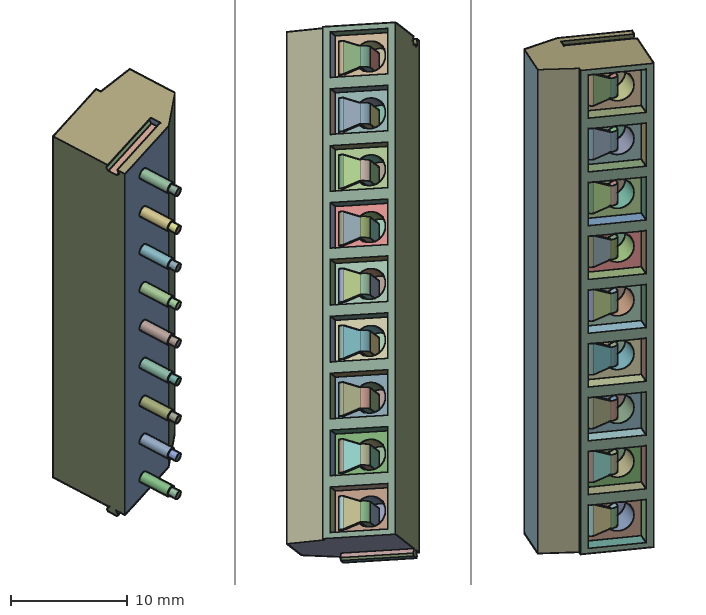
import cadquery as cq
import math

POLES = 9
PITCH = 5.0
DEPTH = 7.5
HEIGHT = 10.0
LENGTH = POLES * PITCH

FRONT_STEP_Y = 6.5
FRONT_STEP_X = 0.5
TOP_FRONT_X = 1.1
TOP_BACK_X = 5.8
BACK_SHOULDER_Y = 6.6

WINDOW_DEPTH = 1.6
WINDOW_BOTTOM_Y = 0.7
WINDOW_TOP_Y = 5.8
WINDOW_LENGTH = 4.0

HOLE_DIAMETER = 2.7
HOLE_Y = 2.7
HOLE_DEPTH = 3.0

LEAF_TOP_Y = 5.5
LEAF_TIP_BEND_Y = 3.5
LEAF_TIP_Y = 2.75
LEAF_RISE = 0.3
LEAF_ROOT_RADIUS = 0.5
LEAF_TIP_RADIUS = 0.8
LEAF_WIDE = 2.95
LEAF_NARROW = 1.85

PIN_DIAMETER = 1.05
PIN_LENGTH = 2.9
TIP_DIAMETER = 0.8
TIP_LENGTH = 0.8
PIN_Y = 2.7

RAIL_X = 6.2
RAIL_NECK = 0.7
RAIL_WIDE = 1.2
RAIL_FOOT = 0.9
RAIL_HEIGHT = 0.68
GROOVE_NECK = 0.98
GROOVE_WIDE = 1.35
GROOVE_FOOT = 0.85
GROOVE_DEPTH = 0.72
FLARE_HEIGHT = 0.45
RAIL_LENGTH = FRONT_STEP_Y


def pole_centers():
    return [PITCH * (i + 0.5) for i in range(POLES)]


def housing():
    profile = [
        (0, 0),
        (DEPTH, 0),
        (DEPTH, BACK_SHOULDER_Y),
        (TOP_BACK_X, HEIGHT),
        (TOP_FRONT_X, HEIGHT),
        (FRONT_STEP_X, FRONT_STEP_Y),
        (0, FRONT_STEP_Y),
    ]
    return cq.Workplane("XY").polyline(profile).close().extrude(LENGTH)


def flared_bar(end_z, neck, wide, foot, height):
    """Bar along Y, hanging below the plane z = end_z and widest at FLARE_HEIGHT."""
    flare_z = end_z - FLARE_HEIGHT
    foot_z = end_z - height
    profile = [
        (RAIL_X - neck / 2, end_z),
        (RAIL_X - wide / 2, flare_z),
        (RAIL_X - foot / 2, foot_z),
        (RAIL_X + foot / 2, foot_z),
        (RAIL_X + wide / 2, flare_z),
        (RAIL_X + neck / 2, end_z),
    ]
    return cq.Workplane("XZ").polyline(profile).close().extrude(-RAIL_LENGTH)


def rail():
    return flared_bar(0, RAIL_NECK, RAIL_WIDE, RAIL_FOOT, RAIL_HEIGHT)


def groove():
    return flared_bar(LENGTH, GROOVE_NECK, GROOVE_WIDE, GROOVE_FOOT, GROOVE_DEPTH)


def window(z):
    height = WINDOW_TOP_Y - WINDOW_BOTTOM_Y
    return (
        cq.Workplane("XY")
        .box(WINDOW_DEPTH, height, WINDOW_LENGTH, centered=(False, False, True))
        .translate((0, WINDOW_BOTTOM_Y, z))
    )


def wire_hole(z):
    return (
        cq.Workplane("YZ", origin=(WINDOW_DEPTH, HOLE_Y, z))
        .circle(HOLE_DIAMETER / 2)
        .extrude(HOLE_DEPTH)
    )


def guard_leaf(z):
    """Tapered leaf, bent down at both ends, reaching from the window floor into the hole."""
    flat_x = WINDOW_DEPTH - LEAF_RISE
    base_x = WINDOW_DEPTH + HOLE_DEPTH
    root_run = math.sqrt(LEAF_ROOT_RADIUS**2 - (LEAF_ROOT_RADIUS - LEAF_RISE) ** 2)
    root_bend_y = LEAF_TOP_Y - root_run
    tip_run = LEAF_TIP_BEND_Y - LEAF_TIP_Y
    tip_drop = LEAF_TIP_RADIUS - math.sqrt(LEAF_TIP_RADIUS**2 - tip_run**2)
    tip_x = flat_x + tip_drop
    side = (
        cq.Workplane("XY", origin=(0, 0, z))
        .moveTo(base_x, LEAF_TOP_Y)
        .lineTo(WINDOW_DEPTH, LEAF_TOP_Y)
        .radiusArc((flat_x, root_bend_y), -LEAF_ROOT_RADIUS)
        .lineTo(flat_x, LEAF_TIP_BEND_Y)
        .radiusArc((tip_x, LEAF_TIP_Y), -LEAF_TIP_RADIUS)
        .lineTo(base_x, LEAF_TIP_Y)
        .close()
        .extrude(LEAF_WIDE / 2, both=True)
    )
    half_outline = [
        (LEAF_TOP_Y, LEAF_WIDE / 2),
        (root_bend_y, LEAF_WIDE / 2),
        (LEAF_TIP_BEND_Y, LEAF_NARROW / 2),
        (LEAF_TIP_Y, LEAF_NARROW / 2),
    ]
    upper_edge = [(y, z + half_width) for y, half_width in half_outline]
    lower_edge = [(y, z - half_width) for y, half_width in reversed(half_outline)]
    plan = cq.Workplane("YZ").polyline(upper_edge + lower_edge).close().extrude(base_x)
    return side.intersect(plan)


def pin(z):
    return (
        cq.Workplane("YZ", origin=(DEPTH, PIN_Y, z))
        .circle(PIN_DIAMETER / 2)
        .extrude(PIN_LENGTH)
        .faces(">X")
        .workplane()
        .circle(TIP_DIAMETER / 2)
        .extrude(TIP_LENGTH)
    )


result = housing().cut(groove()).union(rail())
for center in pole_centers():
    result = result.cut(window(center)).cut(wire_hole(center))
    result = result.union(guard_leaf(center)).union(pin(center))